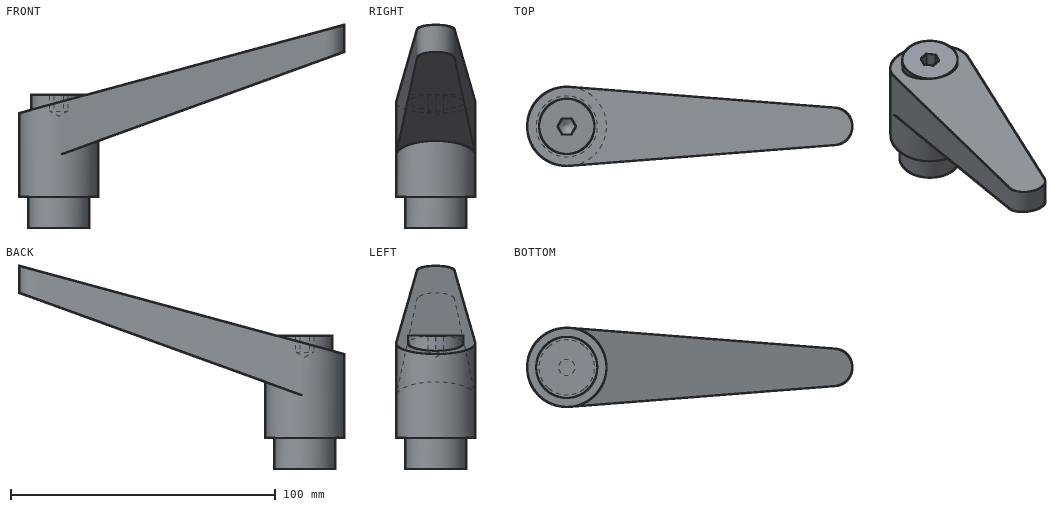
import cadquery as cq
import math

length = 123.0
hub_radius = 15.0
foot_radius = 11.6
foot_height = 11.8
tip_radius = 7.1
tip_top = 76.9
top_angle = 15.2
underside_start = 27.9
underside_angle = 19.9
screw_radius = 10.5
screw_top = 50.4
socket_flats = 6.0
socket_depth = 6.2
drill_point_angle = 120

tip_end = length - hub_radius
tip_center = tip_end - tip_radius
taper_sine = (hub_radius - tip_radius) / tip_center
taper_cosine = math.sqrt(1 - taper_sine**2)
hub_tangent = (hub_radius * taper_sine, hub_radius * taper_cosine)
tip_tangent = (tip_center + tip_radius * taper_sine, tip_radius * taper_cosine)
arm_start = hub_tangent[0]


def top_height(x):
    """Height of the sloping top face."""
    return tip_top - (tip_end - x) * math.tan(math.radians(top_angle))


def underside_height(x):
    """Height of the sloping underside of the arm."""
    return underside_start + (x - arm_start) * math.tan(math.radians(underside_angle))


def side_prism(points):
    """Extrude an XZ outline across the full width of the part."""
    return cq.Workplane("XZ").polyline(points).close().extrude(hub_radius, both=True)


def make_hub():
    """Round hub with its top cut along the slope of the arm."""
    cylinder = (
        cq.Workplane("XY").workplane(offset=foot_height)
        .circle(hub_radius).extrude(tip_top - foot_height)
    )
    below_top = side_prism([
        (-hub_radius, 0),
        (hub_radius, 0),
        (hub_radius, top_height(hub_radius)),
        (-hub_radius, top_height(-hub_radius)),
    ])
    return cylinder.intersect(below_top)


def make_arm():
    """Tapered arm, tangent to the hub and to the rounded tip."""
    plan = (
        cq.Workplane("XY")
        .moveTo(hub_tangent[0], -hub_tangent[1])
        .lineTo(tip_tangent[0], -tip_tangent[1])
        .threePointArc((tip_end, 0), tip_tangent)
        .lineTo(*hub_tangent)
        .close()
        .extrude(tip_top)
    )
    profile = side_prism([
        (arm_start, underside_height(arm_start)),
        (tip_end, underside_height(tip_end)),
        (tip_end, tip_top),
        (arm_start, top_height(arm_start)),
    ])
    return plan.intersect(profile)


foot = cq.Workplane("XY").circle(foot_radius).extrude(foot_height)
screw_head = (
    cq.Workplane("XY").workplane(offset=foot_height)
    .circle(screw_radius).extrude(screw_top - foot_height)
)

socket_corners = socket_flats / math.cos(math.radians(30))
point_radius = socket_corners / 2
point_depth = point_radius / math.tan(math.radians(drill_point_angle / 2))
drilled_hole = (
    cq.Workplane("XZ")
    .moveTo(0, screw_top)
    .lineTo(point_radius, screw_top)
    .lineTo(point_radius, screw_top - socket_depth)
    .lineTo(0, screw_top - socket_depth - point_depth)
    .close()
    .revolve(360, (0, 0), (0, 1))
)
socket = (
    cq.Workplane("XY").workplane(offset=screw_top)
    .polygon(6, socket_corners).extrude(-socket_depth - point_depth)
    .intersect(drilled_hole)
)

result = make_hub().union(make_arm()).union(foot).union(screw_head).cut(socket)